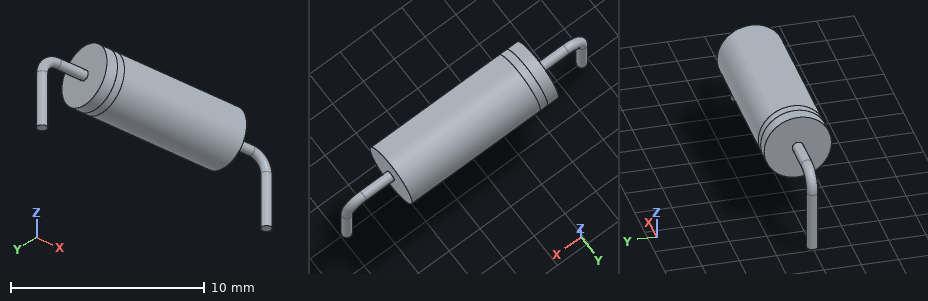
import cadquery as cq

overall_length = 15.85
body_diameter = 3.61
overall_height = 6.15

body_length = 9.51
body_radius = body_diameter / 2

band_offset = 0.71
band_width = 0.48
band_depth = 0.08
band_start = -body_length / 2 + band_offset

lead_diameter = 0.6
bend_radius = 1.05
lead_radius = lead_diameter / 2
lead_x = overall_length / 2 - lead_radius
lead_bottom = body_radius - overall_height


def make_band():
    """Ring around the body, flush with its surface."""
    return (
        cq.Workplane("YZ", origin=(band_start, 0, 0))
        .circle(body_radius)
        .circle(body_radius - band_depth)
        .extrude(band_width)
    )


def make_body(band):
    """Solid cylinder with a groove that holds the band."""
    cylinder = cq.Workplane("YZ").circle(body_radius).extrude(body_length / 2, both=True)
    return cylinder.cut(band)


def make_lead(side):
    """Round wire from the body end face, out along X and down; side is -1 or 1."""
    face_x = side * body_length / 2
    bend_start_x = side * (lead_x - bend_radius)
    path = (
        cq.Workplane("XZ")
        .moveTo(face_x, 0)
        .lineTo(bend_start_x, 0)
        .tangentArcPoint((side * lead_x, -bend_radius), relative=False)
        .lineTo(side * lead_x, lead_bottom)
    )
    return cq.Workplane("YZ", origin=(face_x, 0, 0)).circle(lead_radius).sweep(path)


band = make_band()
body = make_body(band)
leads = [make_lead(side) for side in (-1, 1)]

result = cq.Compound.makeCompound([body.val(), band.val(), *[lead.val() for lead in leads]])